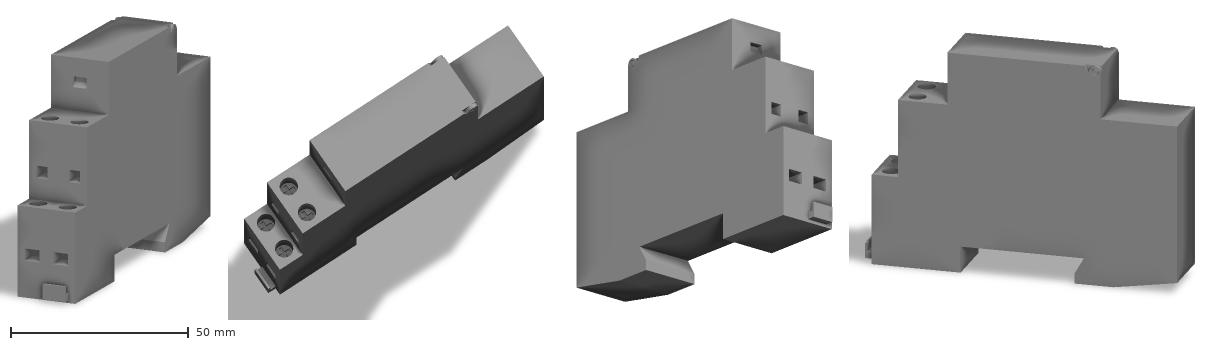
import cadquery as cq
import math


width = 18.0
total_length = 92.2
clip_reach = 2.6
back_y = total_length - clip_reach
upper_step_y = 7.75
lid_front_y = 22.2
lid_back_y = 67.2
lower_step_z = 26.65
shoulder_z = 49.6
top_z = 65.1

slot_front_y = 26.1
slot_back_y = 59.5
slot_z = 7.75
hook_reach = 2.9
hook_z = 2.95
bevel_y = 71.0
bevel_z = 3.0

pin_radius = 0.8
pin_hole_radius = 1.0
ear_radius = 1.6
ear_width = 1.1
pin_y = lid_back_y - ear_radius
pin_z = top_z - ear_radius
knuckle_width = width - 2 * ear_width
knuckle_bottom_z = pin_z - ear_radius

seat_z = 55.15
seat_back_y = 57.4
seat_front_y = 29.05
lip_back_y = 27.1
lip_z = 59.0
ear_gap_top_y = 62.5
ear_gap_bottom_z = 63.1

tongue_height = 1.9
tongue_base_width = 8.7
tongue_top_width = 6.1

window_width = 4.2
window_bottom_z = 56.4
window_top_z = 59.6
ramp_depth = 1.1
ramp_rise = 1.4
ledge_depth = 1.8
tooth_width = 3.4
tooth_height = 1.2

screw_radius = 2.6
screw_spacing = 9.1
screw_length = 3.7
screw_sink = 5.5
cross_length = 4.1
cross_width = 1.0
cross_depth = 0.9
upper_screw_y = 12.2
lower_screw_y = 4.4

entry_outer_x = 6.8
entry_height = 3.6
entry_depth = 5.5
upper_entry_width = 3.6
upper_entry_z = 34.8
lower_entry_width = 4.7
lower_entry_z = 12.5

clip_left_x = 0.1
clip_width = 6.9
clip_bottom_z = 0.9
clip_top_z = 5.4
clip_arm_top_z = 2.95
clip_plate_thickness = 0.6

rise_y = pin_y - seat_back_y
rise_z = pin_z - seat_z
slope_angle = math.atan2(rise_z, rise_y) + math.asin(ear_radius / math.hypot(rise_y, rise_z))
tangent_point = (pin_y - ear_radius * math.sin(slope_angle), pin_z + ear_radius * math.cos(slope_angle))


def slope_y(z):
    """Y of the sloped rear seat at height z."""
    return seat_back_y + (z - seat_z) / math.tan(slope_angle)


def side_prism(outline, thickness, center_x=0.0):
    """Prism with an outline of (y, z) points, centred on center_x."""
    sketch = cq.Workplane("YZ", origin=(center_x, 0, 0)).polyline(outline).close()
    return sketch.extrude(thickness / 2, both=True)


def front_prism(outline, front_y, depth):
    """Prism with an outline of (x, z) points, running back from front_y."""
    return cq.Workplane("XZ", origin=(0, front_y, 0)).polyline(outline).close().extrude(-depth)


def front_box(box_width, height, depth, center_x, front_y, center_z):
    """Box that runs back from front_y."""
    return cq.Workplane("XZ", origin=(center_x, front_y, center_z)).rect(box_width, height).extrude(-depth)


def cross_pin(radius):
    """Cylinder across the full width on the hinge axis."""
    return cq.Workplane("YZ", origin=(0, pin_y, pin_z)).circle(radius).extrude(width / 2, both=True)


def housing_block():
    arc_middle = (
        pin_y + ear_radius * math.cos(math.pi / 4),
        pin_z + ear_radius * math.sin(math.pi / 4),
    )
    return (
        cq.Workplane("YZ")
        .moveTo(0, 0)
        .lineTo(0, lower_step_z)
        .lineTo(upper_step_y, lower_step_z)
        .lineTo(upper_step_y, shoulder_z)
        .lineTo(lid_front_y, shoulder_z)
        .lineTo(lid_front_y, lip_z)
        .lineTo(lip_back_y, lip_z)
        .lineTo(seat_front_y, seat_z)
        .lineTo(seat_back_y, seat_z)
        .lineTo(*tangent_point)
        .threePointArc(arc_middle, (lid_back_y, pin_z))
        .lineTo(lid_back_y, shoulder_z)
        .lineTo(back_y, shoulder_z)
        .lineTo(back_y, bevel_z)
        .lineTo(bevel_y, 0)
        .lineTo(slot_back_y, 0)
        .lineTo(slot_back_y, hook_z)
        .lineTo(slot_back_y + hook_reach, slot_z)
        .lineTo(slot_front_y, slot_z)
        .lineTo(slot_front_y, 0)
        .close()
        .extrude(width / 2, both=True)
    )


def tongue():
    outline = [
        (-tongue_base_width / 2, lip_z),
        (-tongue_top_width / 2, lip_z + tongue_height),
        (tongue_top_width / 2, lip_z + tongue_height),
        (tongue_base_width / 2, lip_z),
    ]
    return front_prism(outline, lid_front_y, lip_back_y - lid_front_y)


def knuckle():
    outline = [
        (ear_gap_top_y, top_z),
        (lid_back_y, top_z),
        (lid_back_y, knuckle_bottom_z),
        (slope_y(knuckle_bottom_z), knuckle_bottom_z),
        (slope_y(ear_gap_bottom_z), ear_gap_bottom_z),
    ]
    return side_prism(outline, knuckle_width)


def latch_window():
    ledge_front_y = lid_front_y + ramp_depth
    ledge_back_y = ledge_front_y + ledge_depth
    ledge_z = window_bottom_z + ramp_rise
    outline = [
        (lid_front_y, window_bottom_z),
        (ledge_front_y, ledge_z),
        (ledge_back_y, ledge_z),
        (ledge_back_y, window_top_z),
        (lid_front_y, window_top_z),
    ]
    tooth = front_box(tooth_width, tooth_height, ledge_depth, 0, ledge_front_y, ledge_z + tooth_height / 2)
    return side_prism(outline, window_width).cut(tooth)


def wire_entries(entry_width, front_y, center_z):
    center_x = entry_outer_x - entry_width / 2
    left = front_box(entry_width, entry_height, entry_depth, -center_x, front_y, center_z)
    right = front_box(entry_width, entry_height, entry_depth, center_x, front_y, center_z)
    return left.union(right)


def release_clip():
    outline = [
        (0, clip_bottom_z),
        (-clip_reach, clip_bottom_z),
        (-clip_reach, clip_top_z),
        (-clip_reach + clip_plate_thickness, clip_top_z),
        (-clip_reach + clip_plate_thickness, clip_arm_top_z),
        (0, clip_arm_top_z),
    ]
    return side_prism(outline, clip_width, clip_left_x + clip_width / 2)


def screw_hole(x, y, mouth_z):
    depth = screw_sink + screw_length
    return cq.Workplane("XY", origin=(x, y, mouth_z)).circle(screw_radius).extrude(-depth)


def make_housing(screw_places):
    housing = housing_block().union(tongue()).union(release_clip())
    housing = housing.cut(knuckle()).cut(cross_pin(pin_hole_radius)).cut(latch_window())
    housing = housing.cut(wire_entries(upper_entry_width, upper_step_y, upper_entry_z))
    housing = housing.cut(wire_entries(lower_entry_width, 0, lower_entry_z))
    for x, y, mouth_z in screw_places:
        housing = housing.cut(screw_hole(x, y, mouth_z))
    return housing


def make_cover():
    outline = [
        (lid_front_y, lip_z),
        (lid_front_y, top_z),
        (ear_gap_top_y, top_z),
        (slope_y(ear_gap_bottom_z), ear_gap_bottom_z),
        (seat_back_y, seat_z),
        (seat_front_y, seat_z),
        (lip_back_y, lip_z),
    ]
    return side_prism(outline, width).cut(tongue()).union(knuckle()).union(cross_pin(pin_radius))


def make_screw(x, y, mouth_z):
    head = cq.Workplane("XY", origin=(x, y, mouth_z - screw_sink))
    shank = head.circle(screw_radius).extrude(-screw_length)
    arm_along_x = head.rect(cross_length, cross_width).extrude(-cross_depth)
    arm_along_y = head.rect(cross_width, cross_length).extrude(-cross_depth)
    return shank.cut(arm_along_x).cut(arm_along_y)


screw_places = [
    (side * screw_spacing / 2, y, mouth_z)
    for y, mouth_z in [(lower_screw_y, lower_step_z), (upper_screw_y, shoulder_z)]
    for side in (-1, 1)
]

housing = make_housing(screw_places)
cover = make_cover()
screws = [make_screw(*place) for place in screw_places]

result = cq.Compound.makeCompound([housing.val(), cover.val(), *[screw.val() for screw in screws]])